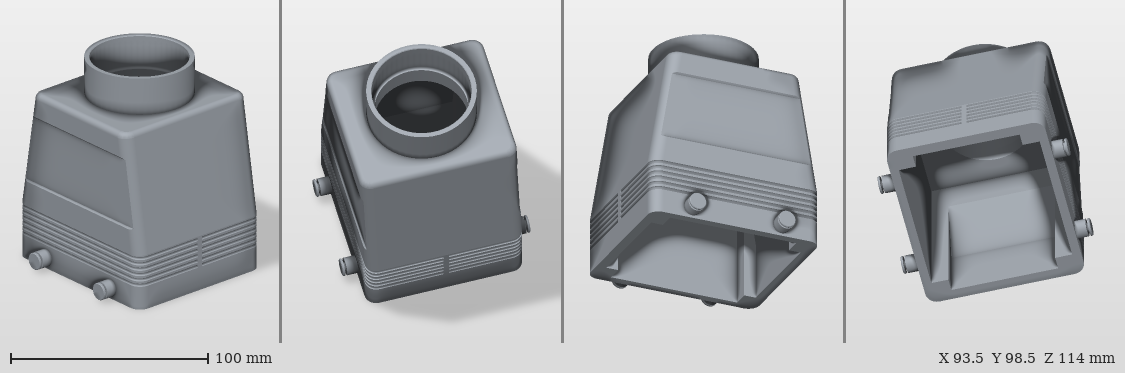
import cadquery as cq
import math

BODY_X = 93.5
BODY_Y = 82.5
BODY_HEIGHT = 93.9
SKIRT_HEIGHT = 30.0
TAPER_ANGLE = 9.5
CORNER_RADIUS = 6.0
TOP_RADIUS = 3.0

TOTAL_HEIGHT = 114.0
COLLAR_RADIUS = 28.0
COUNTERBORE_RADIUS = 25.3
COUNTERBORE_DEPTH = 18.0
COUNTERBORE_FLOOR_RADIUS = 1.3
MOUTH_CHAMFER = 0.3
BORE_RADIUS = 23.9

ROOF_THICKNESS = 8.0
CAVITY_X = 70.0
CAVITY_Y = 73.4
WIDENING_TOP = 68.4
CORNER_POST_WIDTH = 8.9

RECESS_BOTTOM = 43.1
RECESS_TOP = 80.9
RECESS_DEPTH = 0.9

GROOVE_COUNT = 6
GROOVE_RADIUS = 0.85
GROOVE_PITCH = 3.0
LOWEST_GROOVE_Z = 13.6
STRIP_WIDTH = 2.6

PIN_X = 24.7
PIN_Z = 5.9
PIN_RADIUS = 4.6
PIN_NECK_RADIUS = 2.5
PIN_SHAFT_LENGTH = 5.8
PIN_NECK_LENGTH = 1.0
PIN_LENGTH = 8.0
PIN_BEVEL = 0.3
PIN_ROOT = 1.1

TAPER_SLOPE = math.tan(math.radians(TAPER_ANGLE))
CEILING_Z = BODY_HEIGHT - ROOF_THICKNESS


def mirrored_prism(half_profile, length_y):
    """Prism along Y whose (x, z) outline is half_profile plus its mirror image across the Z axis."""
    mirrored = [(-x, z) for x, z in reversed(half_profile)]
    return cq.Workplane("XZ").polyline(half_profile + mirrored).close().extrude(length_y / 2, both=True)


def hood_body():
    """Solid hood with rounded upright corners and a rounded roof edge."""
    top_half_x = BODY_X / 2 - (BODY_HEIGHT - SKIRT_HEIGHT) * TAPER_SLOPE
    half_profile = [(BODY_X / 2, 0), (BODY_X / 2, SKIRT_HEIGHT), (top_half_x, BODY_HEIGHT)]
    body = mirrored_prism(half_profile, BODY_Y)
    body = body.faces("<Y or >Y").edges("not |X").fillet(CORNER_RADIUS)
    return body.faces(">Z").edges().fillet(TOP_RADIUS)


def cavity():
    """Straight-sided hollow, widened parallel to the leaning outer sides between its corners."""
    half_x = CAVITY_X / 2
    main = mirrored_prism([(half_x, 0), (half_x, CEILING_Z)], CAVITY_Y)
    skirt_half_x = half_x + (WIDENING_TOP - SKIRT_HEIGHT) * TAPER_SLOPE
    widening = mirrored_prism(
        [(skirt_half_x, 0), (skirt_half_x, SKIRT_HEIGHT), (half_x, WIDENING_TOP)],
        CAVITY_Y - 2 * CORNER_POST_WIDTH,
    )
    return main.union(widening)


def collar():
    height = TOTAL_HEIGHT - BODY_HEIGHT
    return cq.Workplane("XY").workplane(offset=BODY_HEIGHT).circle(COLLAR_RADIUS).extrude(height)


def stepped_bore():
    """Bore through the roof, counterbore with a rounded floor edge, and chamfered mouth."""
    floor_z = TOTAL_HEIGHT - COUNTERBORE_DEPTH
    bore = cq.Workplane("XY").workplane(offset=CEILING_Z).circle(BORE_RADIUS).extrude(floor_z - CEILING_Z)
    counterbore = (
        cq.Workplane("XY")
        .workplane(offset=floor_z)
        .circle(COUNTERBORE_RADIUS)
        .extrude(COUNTERBORE_DEPTH)
        .faces("<Z")
        .edges()
        .fillet(COUNTERBORE_FLOOR_RADIUS)
    )
    mouth = cq.Solid.makeCone(
        COUNTERBORE_RADIUS,
        COUNTERBORE_RADIUS + MOUTH_CHAMFER,
        MOUTH_CHAMFER,
        pnt=cq.Vector(0, 0, TOTAL_HEIGHT - MOUTH_CHAMFER),
    )
    return bore.union(counterbore).union(cq.Workplane(mouth))


def side_recess(side):
    """Full-width shallow slab cutter on the +Y (side=1) or -Y (side=-1) face."""
    face_y = side * BODY_Y / 2
    floor_y = face_y - side * RECESS_DEPTH
    return (
        cq.Workplane("YZ")
        .polyline(
            [
                (face_y, RECESS_BOTTOM),
                (floor_y, RECESS_BOTTOM + RECESS_DEPTH),
                (floor_y, RECESS_TOP - RECESS_DEPTH),
                (face_y, RECESS_TOP),
            ]
        )
        .close()
        .extrude(BODY_X / 2, both=True)
    )


def grip_groove(z):
    """Half-round groove following the skirt outline, leaving the plain strips uncut."""
    outline = (
        cq.Workplane("XY")
        .box(BODY_X, BODY_Y, GROOVE_PITCH)
        .edges("|Z")
        .fillet(CORNER_RADIUS)
        .translate((0, 0, z + GROOVE_PITCH / 2))
        .faces("<Z")
        .wires()
    )
    section = cq.Workplane("XZ").center(BODY_X / 2, z).circle(GROOVE_RADIUS)
    ring = section.sweep(cq.Workplane(outline.val()))
    strips = cq.Workplane("XY").box(2 * BODY_X, STRIP_WIDTH, TOTAL_HEIGHT)
    return ring.cut(strips)


def pin(x, side):
    """Locking pin on the +Y (side=1) or -Y (side=-1) face, rooted slightly inside the wall."""
    root_y = BODY_Y / 2 - PIN_ROOT
    neck_y = BODY_Y / 2 + PIN_SHAFT_LENGTH
    head_y = neck_y + PIN_NECK_LENGTH
    tip_y = BODY_Y / 2 + PIN_LENGTH
    profile = [
        (0, root_y),
        (PIN_RADIUS, root_y),
        (PIN_RADIUS, neck_y),
        (PIN_NECK_RADIUS, neck_y),
        (PIN_NECK_RADIUS, head_y),
        (PIN_RADIUS, head_y),
        (PIN_RADIUS, tip_y - PIN_BEVEL),
        (PIN_RADIUS - PIN_BEVEL, tip_y),
        (0, tip_y),
    ]
    solid = cq.Workplane("XY").polyline(profile).close().revolve(360, (0, 0, 0), (0, 1, 0))
    if side < 0:
        solid = solid.mirror("XZ")
    return solid.translate((x, 0, PIN_Z))


result = hood_body().union(collar())
for side in (-1, 1):
    result = result.cut(side_recess(side))
for index in range(GROOVE_COUNT):
    result = result.cut(grip_groove(LOWEST_GROOVE_Z + index * GROOVE_PITCH))
result = result.cut(cavity()).cut(stepped_bore())
for x in (-PIN_X, PIN_X):
    for side in (-1, 1):
        result = result.union(pin(x, side))